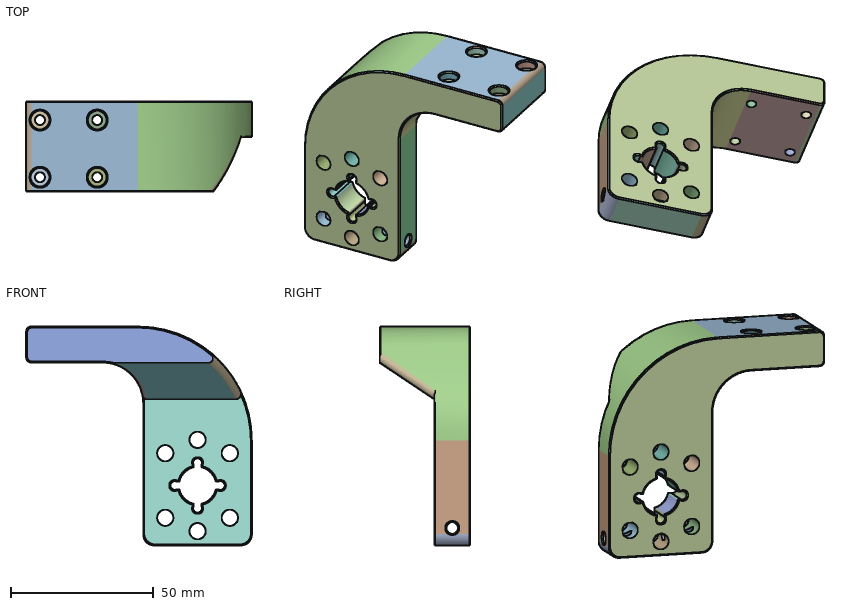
import cadquery as cq
import math

LENGTH = 79.05
WIDTH = 31.8
HEIGHT = 76.7

ARM_THICKNESS = 12.7
LEG_THICKNESS = 12.7
LEG_WIDTH = 38.1
OUTER_BEND_RADIUS = 40.0
INNER_BEND_RADIUS = 14.0
SLOPE_DROP = 12.7
ARM_CORNER_RADIUS = 2.0
LEG_CORNER_RADIUS = 4.0
OUTER_SLOPE_RADIUS = 2.0
INNER_SLOPE_RADIUS = 1.4
EDGE_CHAMFER = 0.5

SCREW_HOLE_DIAMETER = 3.4
COUNTERBORE_DIAMETER = 6.5
COUNTERBORE_DEPTH = 3.0
SCREW_PITCH = 20.0
SCREWS_PER_SIDE = 2
FIRST_SCREW_X = 4.9
FIRST_SCREW_Y = 5.1

PATTERN_HEIGHT = 21.0
MOUNT_HOLE_DIAMETER = 5.6
MOUNT_CIRCLE_RADIUS = 16.0
MOUNT_HOLE_ANGLES = (45, 90, 135, 225, 270, 315)
BORE_DIAMETER = 13.0
NOTCH_LIP_RADIUS = 0.5
NOTCH_NECK_WIDTH = 2.6
NOTCH_END_DIAMETER = 3.0
NOTCH_CENTER_RADIUS = 8.0
NOTCH_ANGLES = (0, 90, 180, 270)

CROSS_HOLE_DIAMETER = 4.0
CROSS_HOLE_HEIGHT = 6.2

ZONE_INSET = 3.95

leg_left = LENGTH - LEG_WIDTH
leg_front = WIDTH - LEG_THICKNESS
leg_middle_x = LENGTH - LEG_WIDTH / 2
leg_middle_y = WIDTH - LEG_THICKNESS / 2
arm_bottom = HEIGHT - ARM_THICKNESS
slope_end_height = arm_bottom - SLOPE_DROP * WIDTH / leg_front

arc_center_x = LENGTH - OUTER_BEND_RADIUS
arc_center_z = HEIGHT - OUTER_BEND_RADIUS
inner_arc_x = leg_left - INNER_BEND_RADIUS
inner_arc_z = arm_bottom - INNER_BEND_RADIUS
outer_reach = OUTER_BEND_RADIUS * math.sin(math.radians(45))
inner_reach = INNER_BEND_RADIUS * math.sin(math.radians(45))

outer_slope_edge = cq.selectors.BoxSelector(
    (leg_middle_x, ZONE_INSET, slope_end_height), (LENGTH, WIDTH - ZONE_INSET, arm_bottom)
)
inner_slope_edge = cq.selectors.BoxSelector(
    (inner_arc_x, ZONE_INSET, slope_end_height), (leg_left, WIDTH - ZONE_INSET, arm_bottom)
)

lip_reach = BORE_DIAMETER / 2 + NOTCH_LIP_RADIUS / 2
notch_lips = cq.selectors.BoxSelector(
    (leg_middle_x - lip_reach, leg_middle_y - 0.8, PATTERN_HEIGHT - lip_reach),
    (leg_middle_x + lip_reach, leg_middle_y + 0.8, PATTERN_HEIGHT + lip_reach),
)


def bore_rim(y):
    """Selector for the rim of the notched bore in the leg face at y."""
    reach = NOTCH_CENTER_RADIUS + NOTCH_END_DIAMETER / 2
    return cq.selectors.BoxSelector(
        (leg_middle_x - reach, y - EDGE_CHAMFER / 2, PATTERN_HEIGHT - reach),
        (leg_middle_x + reach, y + EDGE_CHAMFER / 2, PATTERN_HEIGHT + reach),
    )


def bent_slab(front_y):
    """Bent outline from front_y to the back face, with rounded corners and chamfered front and back rims."""
    outer_middle = (arc_center_x + outer_reach, arc_center_z + outer_reach)
    inner_middle = (inner_arc_x + inner_reach, inner_arc_z + inner_reach)
    slab = (
        cq.Workplane("XZ", origin=(0, WIDTH, 0))
        .moveTo(0, HEIGHT)
        .lineTo(arc_center_x, HEIGHT)
        .threePointArc(outer_middle, (LENGTH, arc_center_z))
        .lineTo(LENGTH, 0)
        .lineTo(leg_left, 0)
        .lineTo(leg_left, inner_arc_z)
        .threePointArc(inner_middle, (inner_arc_x, arm_bottom))
        .lineTo(0, arm_bottom)
        .close()
        .extrude(WIDTH - front_y)
    )
    slab = slab.edges("|Y and <X").fillet(ARM_CORNER_RADIUS)
    slab = slab.edges("|Y and <Z").fillet(LEG_CORNER_RADIUS)
    slab = slab.faces("<Y").edges().chamfer(EDGE_CHAMFER)
    return slab.faces(">Y").edges().chamfer(EDGE_CHAMFER)


def arm():
    """Part ahead of the leg, above the slope from the arm's front edge down to the leg."""
    below_slope = (
        cq.Workplane("YZ")
        .polyline([(0, 0), (WIDTH, 0), (WIDTH, slope_end_height), (0, arm_bottom)])
        .close()
        .extrude(LENGTH)
    )
    wedge = bent_slab(0).cut(below_slope)
    wedge = wedge.edges(outer_slope_edge).fillet(OUTER_SLOPE_RADIUS)
    wedge = wedge.edges(inner_slope_edge).fillet(INNER_SLOPE_RADIUS)
    ahead_of_leg = cq.Workplane("XY").box(LENGTH, leg_front + EDGE_CHAMFER, HEIGHT, centered=False)
    return wedge.intersect(ahead_of_leg)


def leg():
    """Plate with the bent outline at leg thickness."""
    return bent_slab(leg_front)


def counterbored_hole(x, y):
    """Cutter for one screw hole, with a counterbore at the top."""
    hole_radius = SCREW_HOLE_DIAMETER / 2
    bore_radius = COUNTERBORE_DIAMETER / 2
    profile = [
        (0, arm_bottom),
        (hole_radius, arm_bottom),
        (hole_radius, HEIGHT - COUNTERBORE_DEPTH),
        (bore_radius, HEIGHT - COUNTERBORE_DEPTH),
        (bore_radius, HEIGHT),
        (0, HEIGHT),
    ]
    cutter = cq.Workplane("XZ").polyline(profile).close().revolve(360, (0, 0, 0), (0, 1, 0))
    return cutter.translate((x, y, 0))


def counterbore_rim(x, y):
    """Selector for the top rim of the counterbore at x, y."""
    reach = COUNTERBORE_DIAMETER / 2 + EDGE_CHAMFER
    return cq.selectors.BoxSelector(
        (x - reach, y - reach, HEIGHT - EDGE_CHAMFER),
        (x + reach, y + reach, HEIGHT + EDGE_CHAMFER),
    )


def cut_screw_holes(part):
    """Square grid of counterbored holes with chamfered rims."""
    for column in range(SCREWS_PER_SIDE):
        for row in range(SCREWS_PER_SIDE):
            x = FIRST_SCREW_X + column * SCREW_PITCH
            y = FIRST_SCREW_Y + row * SCREW_PITCH
            part = part.cut(counterbored_hole(x, y))
            part = part.edges(counterbore_rim(x, y)).chamfer(EDGE_CHAMFER)
    return part


def leg_plane():
    """Sketch plane on the front face of the leg."""
    return cq.Workplane("XZ", origin=(0, leg_front, 0))


def cut_mount_holes(part):
    """Plain holes on a circle around the bore, all the way through the leg."""
    for angle in MOUNT_HOLE_ANGLES:
        x = leg_middle_x + MOUNT_CIRCLE_RADIUS * math.cos(math.radians(angle))
        z = PATTERN_HEIGHT + MOUNT_CIRCLE_RADIUS * math.sin(math.radians(angle))
        hole = leg_plane().center(x, z).circle(MOUNT_HOLE_DIAMETER / 2).extrude(-LEG_THICKNESS)
        part = part.cut(hole)
    return part


def notched_bore():
    """Cutter for the central bore with four keyhole notches and rounded notch lips."""
    center = leg_plane().center(leg_middle_x, PATTERN_HEIGHT)
    bore = center.circle(BORE_DIAMETER / 2).extrude(-LEG_THICKNESS)
    for angle in NOTCH_ANGLES:
        notch = center.transformed(rotate=(0, 0, angle))
        neck = notch.center(NOTCH_CENTER_RADIUS / 2, 0).rect(NOTCH_CENTER_RADIUS, NOTCH_NECK_WIDTH)
        bore = bore.union(neck.extrude(-LEG_THICKNESS))
        notch = center.transformed(rotate=(0, 0, angle))
        end = notch.center(NOTCH_CENTER_RADIUS, 0).circle(NOTCH_END_DIAMETER / 2)
        bore = bore.union(end.extrude(-LEG_THICKNESS))
    return bore.edges(notch_lips).fillet(NOTCH_LIP_RADIUS)


def cross_hole():
    """Cutter for the hole across the leg."""
    return (
        cq.Workplane("YZ", origin=(leg_left, leg_middle_y, CROSS_HOLE_HEIGHT))
        .circle(CROSS_HOLE_DIAMETER / 2)
        .extrude(LEG_WIDTH)
    )


def side_rim(x):
    """Selector for the rim of the cross hole in the side face of the leg at x."""
    reach = CROSS_HOLE_DIAMETER / 2 + EDGE_CHAMFER
    return cq.selectors.BoxSelector(
        (x - EDGE_CHAMFER, leg_middle_y - reach, CROSS_HOLE_HEIGHT - reach),
        (x + EDGE_CHAMFER, leg_middle_y + reach, CROSS_HOLE_HEIGHT + reach),
    )


def bracket():
    """Arm and leg in one piece, with all holes."""
    part = arm().union(leg(), clean=True)
    part = cut_screw_holes(part)
    part = cut_mount_holes(part)
    part = part.cut(notched_bore())
    part = part.edges(bore_rim(leg_front)).chamfer(EDGE_CHAMFER)
    part = part.edges(bore_rim(WIDTH)).chamfer(EDGE_CHAMFER)
    part = part.cut(cross_hole())
    part = part.edges(side_rim(leg_left)).chamfer(EDGE_CHAMFER)
    return part.edges(side_rim(LENGTH)).chamfer(EDGE_CHAMFER)


result = cq.Compound.makeCompound([bracket().val()])